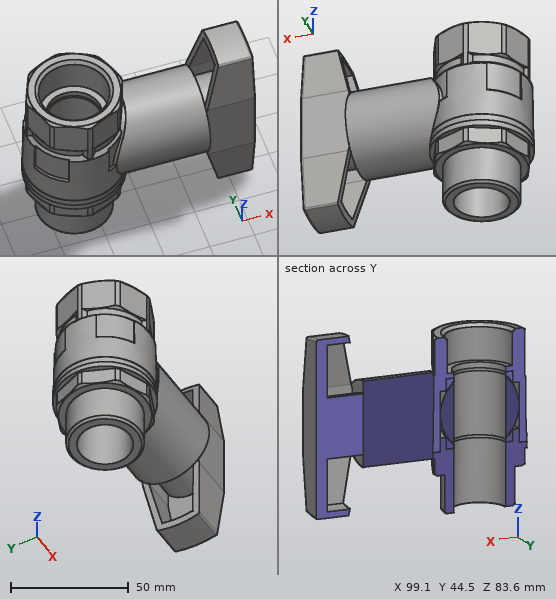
import cadquery as cq
import math


bore_dia = 24.0
bore_radius = bore_dia / 2
ball_dia = 37.0
ball_radius = ball_dia / 2
seat_dia = 31.0
seat_radius = seat_dia / 2
seat_outer_z = 15.4
seat_inner_z = math.sqrt(ball_radius**2 - seat_radius**2)

wrench_sides = 8
flat_width = 40.1
corner_radius = 21.3
wrench_end_radius = 19.8
wrench_chamfer_angle = 30
wrench_chamfer_width = corner_radius - wrench_end_radius
wrench_chamfer_height = wrench_chamfer_width * math.tan(math.radians(wrench_chamfer_angle))

collar_radius = 44.5 / 2
barrel_bottom_radius = 22.1
barrel_top_radius = 21.7
neck_radius = 19.8
body_top_z = 34.1
upper_wrench_bottom_z = 17.6
neck_bottom_z = 14.2
barrel_top_z = neck_bottom_z - (barrel_top_radius - neck_radius)
collar_top_z = -13.5
body_bottom_z = -16.4
socket_dia = 30.3
socket_radius = socket_dia / 2
socket_mouth_chamfer = 1.5
socket_floor_z = 17.9

rib_width = 2
rib_count = 4
rib_root_depth = 1

pocket_angle = 43
pocket_span_angle = 45
pocket_floor_radius = 21.1
pocket_bottom_z = -1.4
pocket_bottom_slope = 1

fitting_collar_bottom_z = -19.1
lower_wrench_bottom_z = -26.8
spigot_radius = 16.6
spigot_bottom_z = -44.0
spigot_chamfer = 1.1

side_boss_radius = 17.6
sleeve_radius = 19.1
saddle_radius = 24.6
saddle_crest_x = 21.8
sleeve_end_x = 54.8

overall_length = 99.05
handle_end_x = overall_length - collar_radius
handle_half_height = 39.6
handle_crown_radius = 44.6
handle_middle_half_height = 15.1
handle_middle_half_width = 14.0
handle_tip_half_width = 10.5
handle_wall = 3
handle_floor_x = 71.5
handle_rim_half_height = 13.4
handle_tip_start_x = 61.5
handle_edge_radius = 1
handle_boss_radius = 13.6


def cylinder_z(radius, bottom_z, top_z):
    return cq.Workplane("XY").workplane(offset=bottom_z).circle(radius).extrude(top_z - bottom_z)


def cylinder_x(radius, start_x, end_x):
    return cq.Workplane("YZ").workplane(offset=start_x).circle(radius).extrude(end_x - start_x)


def revolve_z(profile):
    """Revolve a closed sketch of (radius, height) points about the flow axis."""
    return profile.close().revolve(360, (0, 0, 0), (0, 1, 0))


def octagon_prism(bottom_z, top_z):
    across_corners = flat_width / math.cos(math.pi / wrench_sides)
    return (
        cq.Workplane("XY").workplane(offset=bottom_z)
        .polygon(wrench_sides, across_corners).extrude(top_z - bottom_z)
    )


def make_upper_wrench():
    envelope = cylinder_z(corner_radius, upper_wrench_bottom_z, body_top_z)
    envelope = envelope.faces("<Z or >Z").chamfer(wrench_chamfer_height, wrench_chamfer_width)
    return octagon_prism(upper_wrench_bottom_z, body_top_z).intersect(envelope)


def make_lower_wrench():
    envelope = cylinder_z(corner_radius, lower_wrench_bottom_z, fitting_collar_bottom_z)
    envelope = envelope.faces("<Z").chamfer(wrench_chamfer_height, wrench_chamfer_width)
    return octagon_prism(lower_wrench_bottom_z, fitting_collar_bottom_z).intersect(envelope)


def make_barrel():
    """Collar, tapered barrel, sloped shoulder and neck as one turned shape."""
    return revolve_z(
        cq.Workplane("XZ")
        .moveTo(0, body_bottom_z)
        .lineTo(collar_radius, body_bottom_z)
        .lineTo(collar_radius, collar_top_z)
        .lineTo(barrel_bottom_radius, collar_top_z)
        .lineTo(barrel_top_radius, barrel_top_z)
        .lineTo(neck_radius, neck_bottom_z)
        .lineTo(neck_radius, body_top_z - wrench_chamfer_height)
        .lineTo(0, body_top_z - wrench_chamfer_height)
    )


def make_ribs():
    """Flared ribs under the X and Y corners, running down to the shoulder."""
    rib_inner_radius = neck_radius - rib_root_depth
    inner_half_width = rib_width / 2 + corner_radius - rib_inner_radius
    one_rib = (
        cq.Workplane("XY").workplane(offset=barrel_top_z)
        .moveTo(rib_inner_radius, -inner_half_width)
        .lineTo(corner_radius, -rib_width / 2)
        .lineTo(corner_radius, rib_width / 2)
        .lineTo(rib_inner_radius, inner_half_width)
        .close()
        .extrude(upper_wrench_bottom_z + wrench_chamfer_height - barrel_top_z)
    )
    ribs = cq.Workplane("XY")
    for index in range(rib_count):
        ribs = ribs.add(one_rib.rotate((0, 0, 0), (0, 0, 1), index * 360 / rib_count))
    return ribs.combine().intersect(cylinder_z(corner_radius, barrel_top_z, body_top_z))


def make_pocket_cutters():
    """Ring sectors with radial sides and a sloped bottom, in mirrored pairs about the X axis."""
    slope_top_z = pocket_bottom_z + pocket_bottom_slope
    slope_outer_radius = pocket_floor_radius + pocket_bottom_slope
    sector = (
        cq.Workplane("XZ")
        .moveTo(pocket_floor_radius, slope_top_z)
        .lineTo(slope_outer_radius, pocket_bottom_z)
        .lineTo(collar_radius, pocket_bottom_z)
        .lineTo(collar_radius, neck_bottom_z)
        .lineTo(pocket_floor_radius, neck_bottom_z)
        .close()
        .revolve(pocket_span_angle, (0, 0, 0), (0, 1, 0))
        .rotate((0, 0, 0), (0, 0, 1), -pocket_span_angle / 2)
    )
    cutters = []
    for center_angle in (pocket_angle, 180 - pocket_angle, 180 + pocket_angle, -pocket_angle):
        cutters.append(sector.rotate((0, 0, 0), (0, 0, 1), center_angle))
    return cutters


def make_saddle(bottom_z):
    """Upright cylinder whose +X side shapes the joint between the side boss and the sleeve."""
    saddle = cylinder_z(saddle_radius, bottom_z, sleeve_radius)
    return saddle.translate((saddle_crest_x - saddle_radius, 0, 0))


def make_body():
    body = make_barrel()
    for cutter in make_pocket_cutters():
        body = body.cut(cutter)
    body = body.union(make_ribs()).union(make_upper_wrench())
    side_boss = cylinder_x(side_boss_radius, 0, saddle_crest_x).intersect(
        make_saddle(body_bottom_z)
    )
    body = body.union(side_boss)
    mouth_radius = socket_radius + socket_mouth_chamfer
    opening = revolve_z(
        cq.Workplane("XZ")
        .moveTo(0, -sleeve_radius)
        .lineTo(ball_radius, -sleeve_radius)
        .lineTo(ball_radius, seat_inner_z)
        .lineTo(seat_radius, seat_inner_z)
        .lineTo(seat_radius, seat_outer_z)
        .lineTo(bore_radius, seat_outer_z)
        .lineTo(bore_radius, socket_floor_z)
        .lineTo(socket_radius, socket_floor_z)
        .lineTo(socket_radius, body_top_z - socket_mouth_chamfer)
        .lineTo(mouth_radius, body_top_z)
        .lineTo(0, body_top_z)
    )
    return body.cut(opening)


def make_end_fitting():
    plug = cylinder_z(ball_radius, body_bottom_z, -seat_inner_z)
    collar = cylinder_z(collar_radius, fitting_collar_bottom_z, body_bottom_z)
    spigot = cylinder_z(spigot_radius, spigot_bottom_z, lower_wrench_bottom_z)
    spigot = spigot.faces("<Z").chamfer(spigot_chamfer)
    fitting = plug.union(collar).union(make_lower_wrench()).union(spigot)
    fitting = fitting.cut(cylinder_z(bore_radius, spigot_bottom_z, 0))
    return fitting.cut(cylinder_z(seat_radius, -seat_outer_z, 0))


def make_ball():
    ball = cq.Workplane("XY").sphere(ball_radius)
    return ball.cut(cylinder_z(bore_radius, -ball_radius, ball_radius))


def make_seat(side):
    """Ring pressed against the ball: side is +1 above the ball and -1 below it."""
    ring = cylinder_z(seat_radius, seat_inner_z, seat_outer_z)
    ring = ring.cut(cylinder_z(bore_radius, seat_inner_z, seat_outer_z))
    ring = ring.cut(cq.Workplane("XY").sphere(ball_radius))
    return ring if side > 0 else ring.mirror("XY")


def make_sleeve():
    """Sleeve seated on the saddle and fitted around the barrel and both collars."""
    sleeve = cylinder_x(sleeve_radius, 0, sleeve_end_x).cut(make_saddle(-sleeve_radius))
    fitting_collar = cylinder_z(collar_radius, fitting_collar_bottom_z, body_bottom_z)
    return sleeve.cut(make_barrel()).cut(fitting_collar)


def handle_block(inset, start_x, end_x):
    """Tapered, crowned handle section along X, with its outline moved inward by inset."""
    crown_radius = handle_crown_radius - inset
    crown_center_z = handle_half_height - handle_crown_radius
    middle_y = handle_middle_half_width - inset
    tip_y = handle_tip_half_width - inset
    top_z = crown_center_z + crown_radius
    tip_z = crown_center_z + math.sqrt(crown_radius**2 - tip_y**2)
    middle_z = handle_middle_half_height
    return (
        cq.Workplane("YZ").workplane(offset=start_x)
        .moveTo(middle_y, -middle_z)
        .lineTo(middle_y, middle_z)
        .lineTo(tip_y, tip_z)
        .threePointArc((0, top_z), (-tip_y, tip_z))
        .lineTo(-middle_y, middle_z)
        .lineTo(-middle_y, -middle_z)
        .lineTo(-tip_y, -tip_z)
        .threePointArc((0, -top_z), (tip_y, -tip_z))
        .close()
        .extrude(end_x - start_x)
    )


def make_handle():
    grip = handle_block(0, sleeve_end_x, handle_end_x)
    grip = grip.edges("|X").filter(
        lambda edge: abs(edge.Center().z) > handle_middle_half_height + handle_edge_radius
    ).fillet(handle_edge_radius)
    grip = grip.faces(">X").edges().fillet(handle_edge_radius)
    cavity = handle_block(handle_wall, sleeve_end_x, handle_floor_x)
    cavity = cavity.cut(cylinder_x(handle_boss_radius, sleeve_end_x, handle_floor_x))
    side_outline = (
        cq.Workplane("XZ").workplane(offset=-handle_middle_half_width)
        .moveTo(sleeve_end_x, -handle_rim_half_height)
        .lineTo(sleeve_end_x, handle_rim_half_height)
        .lineTo(handle_tip_start_x, handle_half_height)
        .lineTo(handle_end_x, handle_half_height)
        .lineTo(handle_end_x, -handle_half_height)
        .lineTo(handle_tip_start_x, -handle_half_height)
        .close()
        .extrude(2 * handle_middle_half_width)
    )
    return grip.cut(cavity).intersect(side_outline)


body = make_body()
end_fitting = make_end_fitting()
ball = make_ball()
seats = [make_seat(side) for side in (1, -1)]
sleeve = make_sleeve()
handle = make_handle()

result = cq.Compound.makeCompound([
    body.val(),
    end_fitting.val(),
    ball.val(),
    *[seat.val() for seat in seats],
    sleeve.val(),
    handle.val(),
])